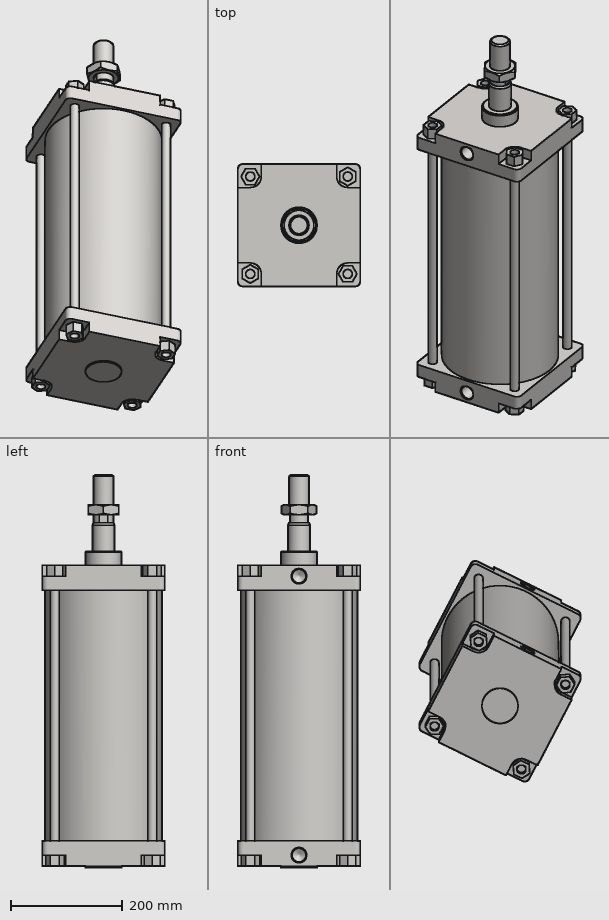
import cadquery as cq
import math

CAP_SIDE = 220.0
CAP_THICKNESS = 45.0
CAP_CORNER_RADIUS = 9.0
BOSS_DIAMETER = 65.0
LOWER_BOSS_HEIGHT = 3.0
UPPER_BOSS_HEIGHT = 25.5
BOSS_CHAMFER = 2.0

PORT_DIAMETER = 25.0
PORT_DEPTH = 28.0
PORT_CHAMFER = 1.5
PORT_INSET = 20.0
DRILL_POINT_ANGLE = 118.0

TUBE_LENGTH = 450.0
TUBE_OUTER_DIAMETER = 210.0
TUBE_BORE_DIAMETER = 200.0

TIE_ROD_DIAMETER = 16.0
TIE_ROD_OFFSET = 87.5
HEAD_ACROSS_CORNERS = 33.0
HEAD_HEIGHT = 20.0
HEAD_BORE_DIAMETER = 16.0
HEAD_BORE_DEPTH = 10.0
POCKET_RADIUS = 20.0
POCKET_DEPTH = HEAD_HEIGHT

TOTAL_HEIGHT = 705.0
ROD_DIAMETER = 40.0
THREAD_DIAMETER = 36.0
THREAD_BOTTOM_Z = 619.0
THREAD_TIP_CHAMFER = 3.0
SHOULDER_CHAMFER_HEIGHT = 4.0
FLATS_WIDTH = 32.5

NUT_ACROSS_FLATS = 55.0
NUT_HEIGHT = 18.0
NUT_BOTTOM_Z = 633.0
NUT_FACE_DIAMETER = 53.5
NUT_CHAMFER_HEIGHT = 3.0

LOWER_CAP_Z = LOWER_BOSS_HEIGHT
TUBE_Z = LOWER_CAP_Z + CAP_THICKNESS
UPPER_CAP_Z = TUBE_Z + TUBE_LENGTH
UPPER_CAP_TOP_Z = UPPER_CAP_Z + CAP_THICKNESS

CORNERS = [(x, y) for x in (-TIE_ROD_OFFSET, TIE_ROD_OFFSET) for y in (-TIE_ROD_OFFSET, TIE_ROD_OFFSET)]


def cylinder(diameter, height, bottom_z):
    return cq.Workplane("XY").workplane(offset=bottom_z).circle(diameter / 2).extrude(height)


def hexagon(across_corners, height, bottom_z):
    """Hexagonal prism on the Z axis with two corners on the X direction."""
    return cq.Workplane("XY").workplane(offset=bottom_z).polygon(6, across_corners).extrude(height)


def corner_pockets(floor_z):
    """Four pockets, open to both sides of their corner, rounded about the tie rod axis."""
    reach = CAP_SIDE / 2 - TIE_ROD_OFFSET + POCKET_RADIUS
    center = CAP_SIDE / 2 - reach / 2
    pocket = (
        cq.Workplane("XY").workplane(offset=floor_z)
        .center(center, center)
        .rect(reach, reach)
        .extrude(POCKET_DEPTH)
        .edges("|Z and <X and <Y")
        .fillet(POCKET_RADIUS)
    )
    pockets = cq.Workplane("XY")
    for quarter in range(4):
        pockets = pockets.add(pocket.rotate((0, 0, 0), (0, 0, 1), 90 * quarter))
    return pockets.combine()


def port(axis_z):
    """Blind drilled hole along +Y with a chamfered mouth and a conical bottom."""
    radius = PORT_DIAMETER / 2
    point_length = radius / math.tan(math.radians(DRILL_POINT_ANGLE / 2))
    return (
        cq.Workplane("XY")
        .polyline([
            (0, 0),
            (radius + PORT_CHAMFER, 0),
            (radius, PORT_CHAMFER),
            (radius, PORT_DEPTH),
            (0, PORT_DEPTH + point_length),
        ])
        .close()
        .revolve(360, (0, 0, 0), (0, 1, 0))
        .translate((0, -CAP_SIDE / 2, axis_z))
    )


def cap_plate(bottom_z, pocket_floor_z, port_z):
    """Plate with rounded corners, tie rod holes, corner pockets and a port."""
    plate = (
        cq.Workplane("XY").workplane(offset=bottom_z)
        .rect(CAP_SIDE, CAP_SIDE)
        .extrude(CAP_THICKNESS)
        .edges("|Z")
        .fillet(CAP_CORNER_RADIUS)
    )
    rod_holes = (
        cq.Workplane("XY").workplane(offset=bottom_z)
        .pushPoints(CORNERS)
        .circle(TIE_ROD_DIAMETER / 2)
        .extrude(CAP_THICKNESS)
    )
    return plate.cut(rod_holes).cut(corner_pockets(pocket_floor_z)).cut(port(port_z))


def make_lower_cap():
    boss = cylinder(BOSS_DIAMETER, LOWER_BOSS_HEIGHT, 0)
    plate = cap_plate(LOWER_CAP_Z, LOWER_CAP_Z, LOWER_CAP_Z + PORT_INSET)
    return plate.union(boss)


def make_upper_cap():
    boss = cylinder(BOSS_DIAMETER, UPPER_BOSS_HEIGHT, UPPER_CAP_TOP_Z).faces(">Z").chamfer(BOSS_CHAMFER)
    rod_hole = cylinder(ROD_DIAMETER, CAP_THICKNESS + UPPER_BOSS_HEIGHT, UPPER_CAP_Z)
    plate = cap_plate(UPPER_CAP_Z, UPPER_CAP_TOP_Z - POCKET_DEPTH, UPPER_CAP_TOP_Z - PORT_INSET)
    return plate.union(boss).cut(rod_hole)


def make_tube():
    return cylinder(TUBE_OUTER_DIAMETER, TUBE_LENGTH, TUBE_Z).cut(
        cylinder(TUBE_BORE_DIAMETER, TUBE_LENGTH, TUBE_Z)
    )


def make_tie_rod():
    """Tie rod at the -X -Y corner; its two heads are turned a quarter turn apart."""
    head_top_z = UPPER_CAP_TOP_Z
    shank = cylinder(TIE_ROD_DIAMETER, head_top_z - LOWER_CAP_Z - 2 * HEAD_HEIGHT, LOWER_CAP_Z + HEAD_HEIGHT)
    lower_head = hexagon(HEAD_ACROSS_CORNERS, HEAD_HEIGHT, LOWER_CAP_Z)
    upper_head = hexagon(HEAD_ACROSS_CORNERS, HEAD_HEIGHT, head_top_z - HEAD_HEIGHT)
    upper_head = upper_head.rotate((0, 0, 0), (0, 0, 1), 90)
    lower_bore = cylinder(HEAD_BORE_DIAMETER, HEAD_BORE_DEPTH, LOWER_CAP_Z)
    upper_bore = cylinder(HEAD_BORE_DIAMETER, HEAD_BORE_DEPTH, head_top_z - HEAD_BORE_DEPTH)
    rod = shank.union(lower_head).union(upper_head).cut(lower_bore).cut(upper_bore)
    return rod.translate((-TIE_ROD_OFFSET, -TIE_ROD_OFFSET, 0))


def make_piston_rod():
    """Stepped rod with a chamfered shoulder and tip, and two flats below the nut."""
    rod_radius = ROD_DIAMETER / 2
    thread_radius = THREAD_DIAMETER / 2
    rod = (
        cq.Workplane("XZ")
        .polyline([
            (0, UPPER_CAP_Z),
            (rod_radius, UPPER_CAP_Z),
            (rod_radius, THREAD_BOTTOM_Z - SHOULDER_CHAMFER_HEIGHT),
            (thread_radius, THREAD_BOTTOM_Z),
            (thread_radius, TOTAL_HEIGHT - THREAD_TIP_CHAMFER),
            (thread_radius - THREAD_TIP_CHAMFER, TOTAL_HEIGHT),
            (0, TOTAL_HEIGHT),
        ])
        .close()
        .revolve(360, (0, 0, 0), (0, 1, 0))
    )
    flats_height = NUT_BOTTOM_Z - THREAD_BOTTOM_Z
    flats_ring = cylinder(ROD_DIAMETER, flats_height, THREAD_BOTTOM_Z).cut(
        cq.Workplane("XY").workplane(offset=THREAD_BOTTOM_Z)
        .rect(FLATS_WIDTH, ROD_DIAMETER)
        .extrude(flats_height)
    )
    return rod.cut(flats_ring)


def make_lock_nut():
    """Hexagonal nut whose corners are cut back by a cone at both ends."""
    corner_radius = NUT_ACROSS_FLATS / math.sqrt(3)
    face_radius = NUT_FACE_DIAMETER / 2
    top_z = NUT_BOTTOM_Z + NUT_HEIGHT
    turned_blank = (
        cq.Workplane("XZ")
        .polyline([
            (0, NUT_BOTTOM_Z),
            (face_radius, NUT_BOTTOM_Z),
            (corner_radius, NUT_BOTTOM_Z + NUT_CHAMFER_HEIGHT),
            (corner_radius, top_z - NUT_CHAMFER_HEIGHT),
            (face_radius, top_z),
            (0, top_z),
        ])
        .close()
        .revolve(360, (0, 0, 0), (0, 1, 0))
    )
    nut = hexagon(2 * corner_radius, NUT_HEIGHT, NUT_BOTTOM_Z).intersect(turned_blank)
    return nut.cut(cylinder(THREAD_DIAMETER, NUT_HEIGHT, NUT_BOTTOM_Z))


lower_cap = make_lower_cap()
upper_cap = make_upper_cap()
tube = make_tube()
first_tie_rod = make_tie_rod()
tie_rods = [first_tie_rod.rotate((0, 0, 0), (0, 0, 1), 90 * quarter) for quarter in range(4)]
piston_rod = make_piston_rod()
lock_nut = make_lock_nut()

result = cq.Compound.makeCompound([
    lower_cap.val(),
    upper_cap.val(),
    tube.val(),
    *[tie_rod.val() for tie_rod in tie_rods],
    piston_rod.val(),
    lock_nut.val(),
])